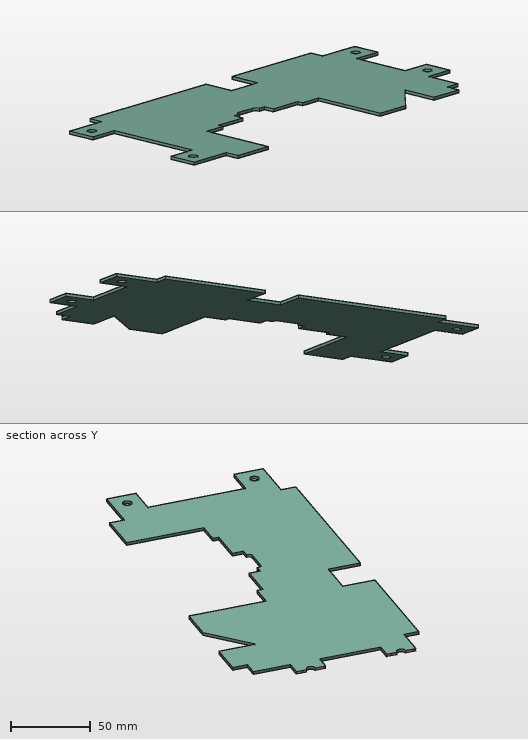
import cadquery as cq

width = 126.0
length = 265.0
thickness = 2.0

corner_step = 9.95
tab_width = 20.0
tab_depth = 20.0
hole_diameter = 5.8
hole_inset = 9.95
upper_right_tab_x = 71.0
left_tab_x = corner_step
lower_right_tab_x = width - corner_step - tab_width

body_bottom = tab_depth
body_length = length - 2 * tab_depth
shoulder_bottom = body_bottom + corner_step
shoulder_length = body_length - 2 * corner_step

notch_depth = 21.7
notch_bottom = 137.8
notch_height = 24.0

slant_notch_depth = 24.5
slant_notch_top = 212.0
slant_notch_inner_height = 0.5
slant_notch_mouth = 26.2

opening_center_y = 110.0
opening_steps = [
    (73.7, 104.0),
    (69.7, 73.7),
    (62.3, 28.0),
]
recess_left = 59.0
recess_height = 18.3
recess_corner_radius = 2.5


def block(left, bottom, size_x, size_y):
    """Full-thickness rectangle placed by its lower left corner."""
    return cq.Workplane("XY").box(size_x, size_y, thickness, centered=False).translate((left, bottom, 0))


def opening_block(left, height):
    """One step of the opening, running out through the right edge."""
    return block(left, opening_center_y - height / 2, width - left, height)


plate = block(0, shoulder_bottom, width, shoulder_length)
plate = plate.union(block(corner_step, body_bottom, width - 2 * corner_step, body_length))

upper_tab_y = length - tab_depth
tabs = [
    (left_tab_x, 0, hole_inset),
    (lower_right_tab_x, 0, hole_inset),
    (left_tab_x, upper_tab_y, length - hole_inset),
    (upper_right_tab_x, upper_tab_y, length - hole_inset),
]
for tab_x, tab_y, _ in tabs:
    plate = plate.union(block(tab_x, tab_y, tab_width, tab_depth))

hole_centers = [(tab_x + tab_width / 2, hole_y) for tab_x, _, hole_y in tabs]
holes = cq.Workplane("XY").pushPoints(hole_centers).circle(hole_diameter / 2).extrude(thickness)
plate = plate.cut(holes)

plate = plate.cut(block(0, notch_bottom, notch_depth, notch_height))

slant_notch = (
    cq.Workplane("XY")
    .moveTo(width, slant_notch_top)
    .lineTo(width - slant_notch_depth, slant_notch_top)
    .lineTo(width - slant_notch_depth, slant_notch_top - slant_notch_inner_height)
    .lineTo(width, slant_notch_top - slant_notch_mouth)
    .close()
    .extrude(thickness)
)
plate = plate.cut(slant_notch)

for step_left, step_height in opening_steps:
    plate = plate.cut(opening_block(step_left, step_height))
recess = opening_block(recess_left, recess_height).edges("|Z and <X").fillet(recess_corner_radius)
plate = plate.cut(recess)

result = plate.clean()